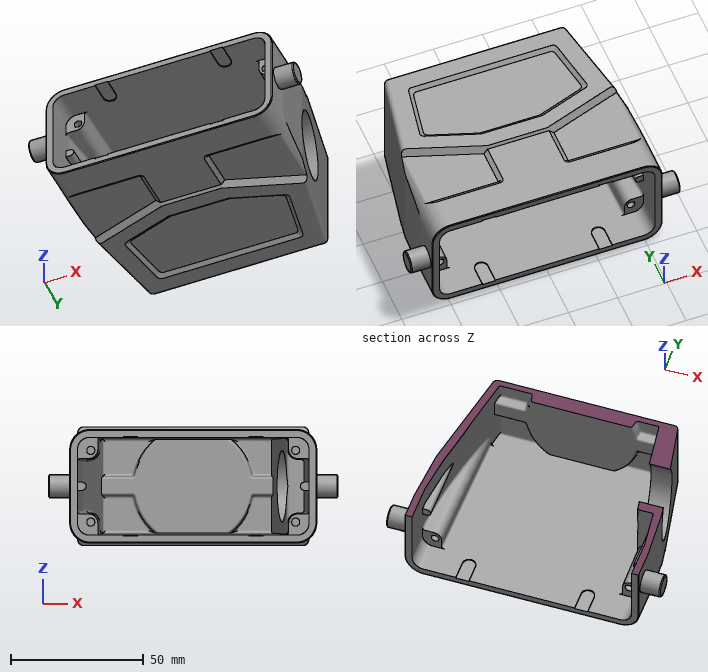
import cadquery as cq
import math

DEPTH = 76.0
HOOD_HALF_HEIGHT = 22.5
SLEEVE_HALF_WIDTH = 46.8
SLEEVE_HALF_HEIGHT = 21.5
SLEEVE_CORNER_RADIUS = 7.7
SLEEVE_DEPTH = 49.3
RIM_CHAMFER = 0.3
SIDE_TAPER_START_Y = 10.8
SIDE_BREAK_Y = 31.9
SIDE_BREAK_X = 45.2
BACK_HALF_WIDTH = 36.7
HOOD_FILLET = 2.0

V_HALF_FLAT = 12.5
V_FLAT_Y = 30.9
V_SLOPE = 0.335
V_WALL_RUN = 2.0
PANEL_FLOOR_Z = 20.1
PANEL_WALL_RUN = 1.8
PANEL_INNER_X = 14.2
PANEL_FRONT_Y = 14.6
PANEL_EDGE_FILLET = 1.6

LABEL_DEPTH = 1.3
LABEL_WALL_RUN = 1.6
LABEL_BACK_Y = 68.1
LABEL_BACK_HALF_WIDTH = 29.9
LABEL_SIDE_HALF_WIDTH = 34.2
LABEL_FRONT_Y = 37.1
LABEL_CORNER_RADIUS = 3.1

CAVITY_HALF_WIDTH = 43.8
CAVITY_HALF_HEIGHT = 18.5
CAVITY_CORNER_RADIUS = 4.6
CAVITY_TAPER_START_Y = 15.3
CAVITY_BREAK_Y = 31.8
CAVITY_BREAK_X = 41.8
CAVITY_FLOOR_Y = 73.4
CAVITY_FLOOR_HALF_WIDTH = 33.9
CAVITY_FLOOR_HALF_HEIGHT = 17.7
CAVITY_FLOOR_FILLET = 0.9

PAD_TOP_Y = 69.5
PAD_DISC_RADIUS = 23.0
PAD_BAR_HALF_WIDTH = 3.9
PAD_DRAFT = 10.0
PAD_EDGE_FILLET = 0.8
PAD_CORNER_FILLET = 1.1

ENTRY_LEDGE_Y = 31.2
ENTRY_LEDGE_X = 35.5
ENTRY_LEDGE_FILLET = 1.1
ENTRY_FLOOR_X = 29.7
ENTRY_DIAMETER = 26.9
ENTRY_Y = 44.9

POST_FRONT_Y = 12.0
POST_INNER_X = 36.1
POST_INNER_Z = 10.5
POST_CORNER_RADIUS = 3.3
POST_DRAFT = 1.0
POST_ROOT_FILLET = 1.1
SCREW_X = 38.8
SCREW_Z = 13.6
SCREW_DIAMETER = 3.1
SCREW_DEPTH = 11.0
RIB_TIP_X = 40.5
RIB_WIDTH = 3.1

GROOVE_X = 23.8
GROOVE_WIDTH = 5.3
GROOVE_LENGTH = 10.3
GROOVE_DEPTH = 0.3

PIN_DIAMETER = 8.8
PIN_TIP_X = 54.8
PIN_Y = 5.9
PIN_CHAMFER = 0.4


def slope_angle(run, rise):
    return math.degrees(math.atan2(run, rise))


def prism(points, half_height):
    """Polygon in the XY plane, extruded equally up and down."""
    return cq.Workplane("XY").polyline(points).close().extrude(half_height, both=True)


def mirrored_points(right_side):
    """Close an outline given by its +X points, listed from front to back."""
    return right_side + [(-x, y) for x, y in reversed(right_side)]


def with_mirror(solid, plane):
    return solid.union(solid.mirror(plane))


def y_block(x_size, z_size, start, end):
    """Block centred on the Y axis between two Y positions."""
    return cq.Workplane("XZ", origin=(0, start, 0)).rect(x_size, z_size).extrude(start - end)


def v_edge_y(x, flat_y):
    return flat_y + V_SLOPE * (x - V_HALF_FLAT)


def body_outline():
    return mirrored_points([
        (SLEEVE_HALF_WIDTH, 0),
        (SLEEVE_HALF_WIDTH, SIDE_TAPER_START_Y),
        (SIDE_BREAK_X, SIDE_BREAK_Y),
        (BACK_HALF_WIDTH, DEPTH),
    ])


def both_signs():
    return [(x_sign, z_sign) for x_sign in (-1, 1) for z_sign in (-1, 1)]


def fillet_nearest(solid, point, radius):
    return solid.edges(cq.NearestToPointSelector(point)).fillet(radius)


def make_panel_cut():
    depth = SLEEVE_HALF_HEIGHT - PANEL_FLOOR_Z
    panel = (
        cq.Workplane("XY", origin=(0, 0, PANEL_FLOOR_Z))
        .polyline([
            (PANEL_INNER_X, PANEL_FRONT_Y),
            (PIN_TIP_X, PANEL_FRONT_Y),
            (PIN_TIP_X, DEPTH),
            (PANEL_INNER_X, DEPTH),
        ])
        .close()
        .extrude(depth, taper=-slope_angle(PANEL_WALL_RUN, depth))
    )
    return with_mirror(with_mirror(panel, "YZ"), "XY")


def make_sleeve():
    sleeve = y_block(2 * SLEEVE_HALF_WIDTH, 2 * SLEEVE_HALF_HEIGHT, 0, SLEEVE_DEPTH)
    sleeve = sleeve.edges("|Y").fillet(SLEEVE_CORNER_RADIUS)
    sleeve = sleeve.faces("<Y").edges().chamfer(RIM_CHAMFER)
    sleeve = sleeve.cut(make_panel_cut())
    corner_z = PANEL_FLOOR_Z - (SLEEVE_HALF_HEIGHT - SLEEVE_CORNER_RADIUS)
    corner_x = math.sqrt(SLEEVE_CORNER_RADIUS ** 2 - corner_z ** 2)
    edge_x = SLEEVE_HALF_WIDTH - SLEEVE_CORNER_RADIUS + corner_x
    edge_y = (PANEL_FRONT_Y + SLEEVE_DEPTH) / 2
    for x_sign, z_sign in both_signs():
        edge_point = (x_sign * edge_x, edge_y, z_sign * PANEL_FLOOR_Z)
        sleeve = fillet_nearest(sleeve, edge_point, PANEL_EDGE_FILLET)
    return sleeve.intersect(prism(body_outline(), HOOD_HALF_HEIGHT))


def make_hood():
    hood = prism(body_outline(), HOOD_HALF_HEIGHT)
    hood = hood.edges("not <Y").edges(cq.selectors.BoxSelector(
        (-PIN_TIP_X, SIDE_BREAK_Y + 1.1, -DEPTH), (PIN_TIP_X, DEPTH + 1.1, DEPTH))).fillet(HOOD_FILLET)
    step = HOOD_HALF_HEIGHT - PANEL_FLOOR_Z
    base_flat_y = V_FLAT_Y - V_WALL_RUN
    v_region = mirrored_points([
        (V_HALF_FLAT, base_flat_y),
        (2 * PIN_TIP_X, v_edge_y(2 * PIN_TIP_X, base_flat_y)),
        (2 * PIN_TIP_X, 2 * DEPTH),
    ])
    sloped = (
        cq.Workplane("XY", origin=(0, 0, PANEL_FLOOR_Z))
        .polyline(v_region)
        .close()
        .extrude(step, taper=slope_angle(V_WALL_RUN, step))
    )
    envelope = prism(v_region, PANEL_FLOOR_Z).union(with_mirror(sloped, "XY"))
    return hood.intersect(envelope)


def make_label_recess():
    outline = mirrored_points([
        (V_HALF_FLAT, LABEL_FRONT_Y),
        (LABEL_SIDE_HALF_WIDTH, v_edge_y(LABEL_SIDE_HALF_WIDTH, LABEL_FRONT_Y)),
        (LABEL_BACK_HALF_WIDTH, LABEL_BACK_Y),
    ])
    recess = (
        cq.Workplane("XY", origin=(0, 0, HOOD_HALF_HEIGHT))
        .polyline(outline)
        .close()
        .extrude(-LABEL_DEPTH, taper=slope_angle(LABEL_WALL_RUN, LABEL_DEPTH))
    )
    outer_corners = cq.selectors.BoxSelector(
        (-V_HALF_FLAT - 3.3, 0, 0), (V_HALF_FLAT + 3.3, DEPTH, DEPTH))
    recess = (recess.edges("not #Z").edges(cq.selectors.SubtractSelector(
        cq.selectors.StringSyntaxSelector("not #Z"), outer_corners)).fillet(LABEL_CORNER_RADIUS))
    return with_mirror(recess, "XY")


def make_cavity():
    plan = prism(mirrored_points([
        (CAVITY_HALF_WIDTH, 0),
        (CAVITY_HALF_WIDTH, CAVITY_TAPER_START_Y),
        (CAVITY_BREAK_X, CAVITY_BREAK_Y),
        (CAVITY_FLOOR_HALF_WIDTH, CAVITY_FLOOR_Y),
    ]), HOOD_HALF_HEIGHT)
    profile = (
        cq.Workplane("YZ")
        .polyline([
            (0, -CAVITY_HALF_HEIGHT),
            (CAVITY_FLOOR_Y, -CAVITY_FLOOR_HALF_HEIGHT),
            (CAVITY_FLOOR_Y, CAVITY_FLOOR_HALF_HEIGHT),
            (0, CAVITY_HALF_HEIGHT),
        ])
        .close()
        .extrude(PIN_TIP_X, both=True)
    )
    rounded = y_block(2 * CAVITY_HALF_WIDTH, 2 * CAVITY_HALF_HEIGHT, 0, CAVITY_FLOOR_Y)
    rounded = rounded.edges("|Y").fillet(CAVITY_CORNER_RADIUS)
    cavity = plan.intersect(profile).intersect(rounded).cut(make_floor_pad())
    cavity = cavity.faces(">Y").edges().fillet(CAVITY_FLOOR_FILLET)
    return cavity


def make_floor_pad():
    height = CAVITY_FLOOR_Y - PAD_TOP_Y
    floor = cq.Workplane("XZ", origin=(0, CAVITY_FLOOR_Y, 0))
    disc = floor.circle(PAD_DISC_RADIUS).extrude(height, taper=PAD_DRAFT)
    bar = floor.rect(2 * PIN_TIP_X, 2 * PAD_BAR_HALF_WIDTH).extrude(height, taper=PAD_DRAFT)
    pad = disc.union(bar)
    corners = cq.selectors.BoxSelector(
        (-PAD_DISC_RADIUS - 1.1, 0, -5.5), (PAD_DISC_RADIUS + 1.1, DEPTH, 5.5))
    pad = pad.edges("not #Y").edges(corners).fillet(PAD_CORNER_FILLET)
    return pad.faces("<Y").edges().fillet(PAD_EDGE_FILLET)


def make_entry_wall():
    return prism([
        (ENTRY_LEDGE_X, ENTRY_LEDGE_Y),
        (PIN_TIP_X, ENTRY_LEDGE_Y),
        (PIN_TIP_X, CAVITY_FLOOR_Y),
        (ENTRY_FLOOR_X, CAVITY_FLOOR_Y),
    ], HOOD_HALF_HEIGHT).edges("|Z and <Y").edges("<X").fillet(ENTRY_LEDGE_FILLET)


def make_posts():
    length = CAVITY_FLOOR_Y - POST_FRONT_Y
    width = PIN_TIP_X - POST_INNER_X
    height = 2 * CAVITY_HALF_HEIGHT - POST_INNER_Z
    post = (
        cq.Workplane("XZ", origin=(POST_INNER_X + width / 2, POST_FRONT_Y, POST_INNER_Z + height / 2))
        .sketch()
        .rect(width, height)
        .vertices()
        .fillet(POST_CORNER_RADIUS)
        .finalize()
        .extrude(-length, taper=-POST_DRAFT)
    )
    return with_mirror(with_mirror(post, "YZ"), "XY")


def cut_posts(cavity):
    """Leave the posts standing in the cavity, with rounded roots along the walls."""
    cavity = cavity.cut(make_posts())
    side_root_y = (CAVITY_TAPER_START_Y + CAVITY_BREAK_Y) / 2
    side_root_x = (CAVITY_HALF_WIDTH + CAVITY_BREAK_X) / 2
    rim_root_y = (POST_FRONT_Y + CAVITY_TAPER_START_Y) / 2
    for x_sign, z_sign in both_signs():
        roots = [
            (x_sign * POST_INNER_X, CAVITY_FLOOR_Y / 2, z_sign * CAVITY_HALF_HEIGHT),
            (x_sign * side_root_x, side_root_y, z_sign * POST_INNER_Z),
            (x_sign * CAVITY_HALF_WIDTH, rim_root_y, z_sign * POST_INNER_Z),
        ]
        root_edges = [cavity.edges(cq.NearestToPointSelector(root)).val() for root in roots]
        cavity = cavity.newObject(root_edges).fillet(POST_ROOT_FILLET)
    return cavity


def make_ribs():
    length = CAVITY_FLOOR_Y - POST_FRONT_Y
    rib = (
        cq.Workplane("XZ", origin=(PIN_TIP_X, POST_FRONT_Y, 0))
        .slot2D(2 * (PIN_TIP_X - RIB_TIP_X), RIB_WIDTH)
        .extrude(-length)
    )
    return with_mirror(rib, "YZ")


def make_screw_holes():
    return (
        cq.Workplane("XZ", origin=(0, POST_FRONT_Y, 0))
        .rect(2 * SCREW_X, 2 * SCREW_Z, forConstruction=True)
        .vertices()
        .circle(SCREW_DIAMETER / 2)
        .extrude(-SCREW_DEPTH)
    )


def make_grooves():
    groove = (
        cq.Workplane("XY")
        .pushPoints([(-GROOVE_X, 0), (GROOVE_X, 0)])
        .slot2D(2 * GROOVE_LENGTH, GROOVE_WIDTH, 90)
        .extrude(CAVITY_HALF_HEIGHT + GROOVE_DEPTH, both=True)
    )
    return groove


def make_pins():
    pin = (
        cq.Workplane("YZ", origin=(CAVITY_HALF_WIDTH, PIN_Y, 0))
        .circle(PIN_DIAMETER / 2)
        .extrude(PIN_TIP_X - CAVITY_HALF_WIDTH)
        .faces(">X")
        .chamfer(PIN_CHAMFER)
    )
    return with_mirror(pin, "YZ")


cavity = cut_posts(make_cavity())
cavity = cavity.cut(make_entry_wall()).cut(make_ribs())

entry_hole = (
    cq.Workplane("YZ", origin=(0, ENTRY_Y, 0))
    .circle(ENTRY_DIAMETER / 2)
    .extrude(PIN_TIP_X)
)
grooves = make_grooves()

result = make_sleeve().union(make_hood()).union(make_pins())
result = result.cut(make_label_recess())
result = result.cut(cavity)
result = result.cut(grooves).cut(make_screw_holes()).cut(entry_hole)